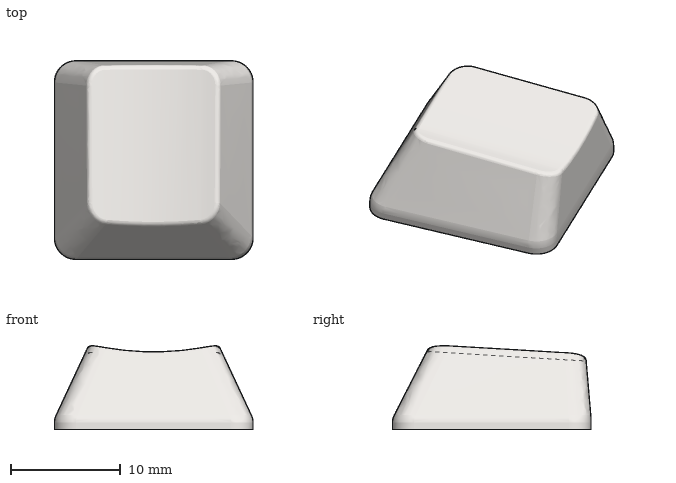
import cadquery as cq
import math

base_size = 18.16
half_base = base_size / 2
corner_radius = 2.0
top_corner_radius = 1.78

skirt_height = 0.64
blend_height = 0.69
side_slope = 0.48
front_slope = 0.51
back_slope = 0.085
blank_height = 8.35

dish_radius = 24.7
dish_tilt = 3.4
dish_valley_height = 6.77
dish_length = 2 * base_size

rim_radius = 0.44


def wall_inset(height, slope):
    """Inward offset of a wall: a parabolic blend, tangent to skirt and wall."""
    rise = height - skirt_height
    if rise <= blend_height:
        return slope * rise**2 / (2 * blend_height)
    return slope * (rise - blend_height / 2)


def rounded_outline(height, radius, tilt=0.0):
    """Rounded rectangular section at a height; a tilt in degrees drops its back edge."""
    fall = math.tan(math.radians(tilt))
    half_width = half_base - wall_inset(height, side_slope)
    front_y = -(half_base - wall_inset(height, front_slope)) / (1 + front_slope * fall)
    back_y = (half_base - wall_inset(height, back_slope)) / (1 - back_slope * fall)
    stretch = 1 / math.cos(math.radians(tilt))
    front = front_y * stretch
    back = back_y * stretch
    half_flat = half_width - radius
    diagonal = radius * (1 - math.sqrt(0.5))
    return (
        cq.Workplane("XY", origin=(0, 0, height))
        .transformed(rotate=(-tilt, 0, 0))
        .moveTo(-half_flat, front)
        .lineTo(half_flat, front)
        .threePointArc((half_width - diagonal, front + diagonal), (half_width, front + radius))
        .lineTo(half_width, back - radius)
        .threePointArc((half_width - diagonal, back - diagonal), (half_flat, back))
        .lineTo(-half_flat, back)
        .threePointArc((diagonal - half_width, back - diagonal), (-half_width, back - radius))
        .lineTo(-half_width, front + radius)
        .threePointArc((diagonal - half_width, front + diagonal), (-half_flat, front))
        .close()
        .wire()
        .val()
    )


def make_skirt():
    return (
        cq.Workplane("XY")
        .rect(base_size, base_size)
        .extrude(skirt_height)
        .edges("|Z")
        .fillet(corner_radius)
    )


def make_blend():
    heights = [skirt_height, skirt_height + blend_height / 2, skirt_height + blend_height]
    outlines = [rounded_outline(height, corner_radius) for height in heights]
    return cq.Workplane(cq.Solid.makeLoft(outlines))


def make_walls():
    bottom = rounded_outline(skirt_height + blend_height, corner_radius)
    top = rounded_outline(blank_height, top_corner_radius, dish_tilt)
    return cq.Workplane(cq.Solid.makeLoft([bottom, top], True))


def make_dish():
    tilt = math.radians(dish_tilt)
    axis = cq.Vector(0, math.cos(tilt), -math.sin(tilt))
    valley = cq.Vector(0, 0, dish_valley_height)
    normal = cq.Vector(0, math.sin(tilt), math.cos(tilt))
    start = valley + normal * dish_radius - axis * (dish_length / 2)
    return cq.Workplane(cq.Solid.makeCylinder(dish_radius, dish_length, start, axis))


keycap = make_skirt().union(make_blend()).union(make_walls())

keycap = keycap.cut(make_dish())
dish_face = keycap.faces(cq.selectors.NearestToPointSelector((0, 0, dish_valley_height)))
result = dish_face.edges().fillet(rim_radius)